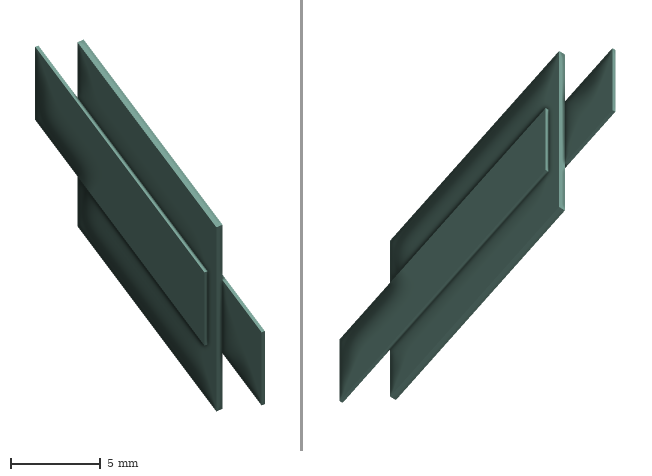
import cadquery as cq

plate_width = 16.0
plate_height = 15.35
plate_thickness = 0.4

strip_length = 19.5
strip_height = 6.1
strip_thickness = 0.2
strip_overhang = 4.5

strip_offset_x = plate_width / 2 + strip_overhang - strip_length / 2
strip_offset_y = (plate_thickness + strip_thickness) / 2


def make_plate():
    """Upright plate centred on the origin."""
    return cq.Workplane("XY").box(plate_width, plate_thickness, plate_height)


def make_strip(side):
    """Strip on one plate face: side -1 is at -Y projecting to -X, side +1 is the opposite."""
    strip = cq.Workplane("XY").box(strip_length, strip_thickness, strip_height)
    return strip.translate((side * strip_offset_x, side * strip_offset_y, 0))


result = make_plate()
for side in (-1, 1):
    result = result.union(make_strip(side))